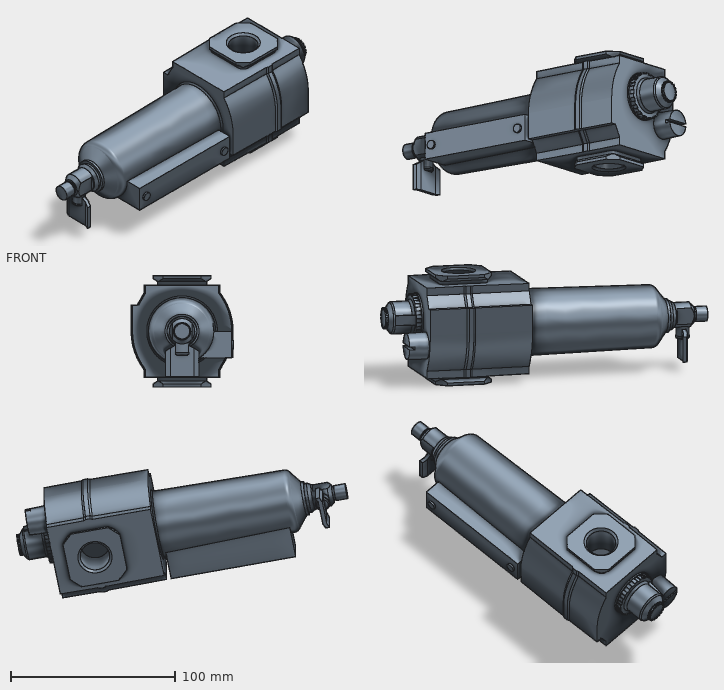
import cadquery as cq
import math

OVERLAP = 1.0

HOUSING_BACK = 25.8
HOUSING_FRONT = -38.7
HALF_WIDTH = 30.5
HALF_HEIGHT = 28.3
FLAT_HALF_WIDTH = 22.5
NOTCH_HALF_WIDTH = 26.9
LEDGE_Z = 15.9
SHOULDER_Z = 23.5
DRAFT_ANGLE = 0.5
RIB_HEIGHT = 0.6
RIB_BASE = 2.6
RIB_CREST = 1.5

PORT_TOP = 34.0
FLANGE_HALF = 17.7
FLANGE_RIM = 1.8
FLANGE_SLOPE = 1.8
FLANGE_CORNER = 6.1
NECK_HALF = 15.0
NECK_ROUND = 4.0
BORE_RADIUS = 9.0
BORE_CHAMFER = 1.5
BORE_DEPTH = 20.4

BOWL_TOP_RADIUS = 20.5
BOWL_END_RADIUS = 19.3
COLLAR_RADIUS = 21.5
COLLAR_LENGTH = 1.0
BOWL_SHOULDER_Y = -120.5
CONE_START_Y = -124.3
CONE_START_RADIUS = 16.9
CONE_END_Y = -129.6
BOWL_SEAT_RADIUS = 10.4
BOWL_SEAT_Y = -131.3

BOX_SIDE = 30.1
BOX_HEIGHT = 16.3
BOX_BACK = -41.5
BOX_FRONT = -118.8
SCREW_RADIUS = 2.6
SCREW_SIDE = 31.3
SCREW_INSET = 5.3

BONNET_RADIUS = 8.8
BONNET_BULGE = 9.2
BONNET_BULGE_Y = -133.0
BONNET_END_Y = -135.3
VALVE_RADIUS = 7.7
VALVE_END_Y = -147.7
VALVE_CHAMFER = 2.5
FLAT_START_Y = -136.1
FLAT_HALF = 6.0
TIP_NECK_RADIUS = 4.0
TIP_START_Y = -149.0
TIP_RADIUS = 4.7
DRAIN_END_Y = -156.0

LEVER_Y = -141.2
STEM_RADIUS = 4.0
STEM_BEAD_RADIUS = 4.3
STEM_BEAD_Z = -12.8
STEM_CHAMFER = 0.8
STEM_END_Z = -14.7
LEVER_THICKNESS = 2.5
LEVER_BEND_X = 7.1
LEVER_HALF_WIDTH = 10.2
LEVER_BEND = 1.2
LEVER_BOTTOM_Z = -27.7
LEVER_SHOULDER_Z = -12.0
LEVER_PEAK_Z = -6.1

DOME_X = 0.2
DOME_Z = 6.5
DOME_BASE_RADIUS = 14.7
DOME_RING_RADIUS = 14.2
DOME_RING_Y = 26.9
DOME_RING_TOP_Y = 30.1
DOME_FOOT_RADIUS = 11.0
DOME_FOOT_Y = 31.7
DOME_RADIUS = 10.0
DOME_SHOULDER_Y = 42.3
DOME_SLOPE_Y = 43.3
DOME_SLOPE_RADIUS = 9.4
DOME_CAP_Y = 45.8
DOME_CAP_NECK = 6.1
DOME_CAP_RADIUS = 6.5
DOME_TOP_Y = 47.5
RING_NOTCHES = 18
RING_NOTCH_WIDTH = 2.5
CAP_NOTCHES = 18
CAP_NOTCH_WIDTH = 1.2
NOTCH_DEPTH = 0.8
FIN_HALF_WIDTH = 3.0
FIN_FOOT_REACH = 12.0
FIN_TOP_REACH = 10.2

PLUG_X = -19.5
PLUG_Z = -8.0
PLUG_TOP_Y = 38.0
PLUG_BASE_RADIUS = 8.3
PLUG_TOP_RADIUS = 8.0
PLUG_SLOT_WIDTH = 1.8
PLUG_SLOT_DEPTH = 3.3


def turned(profile, axis_x=0.0, axis_z=0.0):
    """Revolve (radius, y) points about an axis parallel to Y."""
    first_y = profile[0][1]
    last_y = profile[-1][1]
    outline = cq.Workplane("XY").polyline([(0, first_y), *profile, (0, last_y)]).close()
    return outline.revolve(360, (0, 0, 0), (0, 1, 0)).translate((axis_x, 0, axis_z))


def block(x_range, y_range, z_range):
    """A box given by its limits along each axis."""
    spans = [limits[1] - limits[0] for limits in (x_range, y_range, z_range)]
    corner = (x_range[0], y_range[0], z_range[0])
    return cq.Workplane("XY").box(*spans, centered=False).translate(corner)


def housing_outline(y, side_growth=0.0, top_growth=0.0):
    """Housing cross-section at y; one half turned by 180 degrees gives the other half."""
    half_width = HALF_WIDTH + side_growth
    flat = FLAT_HALF_WIDTH + side_growth
    notch = NOTCH_HALF_WIDTH + side_growth
    top = HALF_HEIGHT + top_growth
    sagitta = half_width - flat
    bulge_radius = (SHOULDER_Z**2 + sagitta**2) / (2 * sagitta)
    mid_z = SHOULDER_Z / 2
    mid_x = half_width - bulge_radius + math.sqrt(bulge_radius**2 - mid_z**2)
    return (
        cq.Workplane("XZ", origin=(0, y, 0))
        .moveTo(-flat, top)
        .lineTo(flat, top)
        .lineTo(flat, SHOULDER_Z)
        .threePointArc((mid_x, mid_z), (half_width, 0))
        .lineTo(half_width, -LEDGE_Z)
        .lineTo(notch, -LEDGE_Z)
        .lineTo(flat, -SHOULDER_Z)
        .lineTo(flat, -top)
        .lineTo(-flat, -top)
        .lineTo(-flat, -SHOULDER_Z)
        .threePointArc((-mid_x, -mid_z), (-half_width, 0))
        .lineTo(-half_width, LEDGE_Z)
        .lineTo(-notch, LEDGE_Z)
        .lineTo(-flat, SHOULDER_Z)
        .close()
        .val()
    )


def draft_growth(y):
    """Change of half width and half height at y, measured from the parting plane."""
    return -abs(y) * math.tan(math.radians(DRAFT_ANGLE))


def between(*outlines):
    """Solid with straight walls through the given cross-sections."""
    return cq.Workplane(cq.Solid.makeLoft(list(outlines), True))


def drafted_half(end_y):
    """Housing from the parting plane to one end, narrowing by the draft angle."""
    shrink = draft_growth(end_y)
    return between(housing_outline(0), housing_outline(end_y, shrink, shrink))


def rib_half(side):
    """Half of the low band round the sides: a level crest and a sloped flank, flush on top and bottom."""
    crest_y = side * RIB_CREST
    base_y = side * RIB_BASE
    crest_edge = housing_outline(crest_y, RIB_HEIGHT, draft_growth(crest_y))
    crest = between(housing_outline(0, RIB_HEIGHT), crest_edge)
    flank = between(crest_edge, housing_outline(base_y, draft_growth(base_y), draft_growth(base_y)))
    return crest.union(flank)


def port_flange():
    """Upper port: rounded neck and square flange with a sloped underside and cut corners."""
    rim_bottom = PORT_TOP - FLANGE_RIM
    slope_bottom = rim_bottom - FLANGE_SLOPE
    neck_bottom = HALF_HEIGHT - OVERLAP
    neck = (
        cq.Workplane("XY", origin=(0, 0, neck_bottom))
        .rect(2 * NECK_HALF, 2 * NECK_HALF)
        .extrude(slope_bottom - neck_bottom)
        .edges("|Z")
        .fillet(NECK_ROUND)
    )
    underside = (
        cq.Workplane("XY", origin=(0, 0, slope_bottom))
        .rect(2 * NECK_HALF, 2 * NECK_HALF)
        .workplane(offset=FLANGE_SLOPE)
        .rect(2 * FLANGE_HALF, 2 * FLANGE_HALF)
        .loft(ruled=True)
    )
    rim = (
        cq.Workplane("XY", origin=(0, 0, rim_bottom))
        .rect(2 * FLANGE_HALF, 2 * FLANGE_HALF)
        .extrude(FLANGE_RIM)
    )
    octagon = (
        cq.Workplane("XY", origin=(0, 0, slope_bottom))
        .rect(2 * FLANGE_HALF, 2 * FLANGE_HALF)
        .extrude(PORT_TOP - slope_bottom)
        .edges("|Z")
        .chamfer(FLANGE_CORNER)
    )
    return underside.union(rim).intersect(octagon).union(neck)


def port_bore():
    """Blind bore of the upper port with a chamfered mouth."""
    bottom = PORT_TOP - BORE_DEPTH
    mouth = BORE_RADIUS + BORE_CHAMFER
    return (
        cq.Workplane("XZ")
        .polyline([
            (0, bottom),
            (BORE_RADIUS, bottom),
            (BORE_RADIUS, PORT_TOP - BORE_CHAMFER),
            (mouth, PORT_TOP),
            (0, PORT_TOP),
        ])
        .close()
        .revolve(360, (0, 0, 0), (0, 1, 0))
    )


def make_housing():
    body = drafted_half(HOUSING_BACK).union(rib_half(1))
    body = body.union(drafted_half(HOUSING_FRONT)).union(rib_half(-1))
    flange = port_flange()
    bore = port_bore()
    body = body.union(flange).union(flange.mirror("XY"))
    return body.cut(bore).cut(bore.mirror("XY"))


def gauge_box():
    """Box along the side of the bowl, with two screw heads on its outer face."""
    box = block((0, BOX_SIDE), (BOX_FRONT, BOX_BACK), (-BOX_HEIGHT, 0))
    for y in (BOX_BACK - SCREW_INSET, BOX_FRONT + SCREW_INSET):
        screw = (
            cq.Workplane("YZ", origin=(BOX_SIDE - OVERLAP, y, -BOX_HEIGHT / 2))
            .circle(SCREW_RADIUS)
            .extrude(SCREW_SIDE - BOX_SIDE + OVERLAP)
        )
        box = box.union(screw)
    return box


def make_bowl():
    shell = (
        cq.Workplane("XY")
        .moveTo(0, HOUSING_FRONT)
        .lineTo(COLLAR_RADIUS, HOUSING_FRONT)
        .lineTo(BOWL_TOP_RADIUS, HOUSING_FRONT - COLLAR_LENGTH)
        .lineTo(BOWL_END_RADIUS, BOWL_SHOULDER_Y)
        .tangentArcPoint((CONE_START_RADIUS, CONE_START_Y), relative=False)
        .lineTo(BOWL_SEAT_RADIUS, CONE_END_Y)
        .lineTo(BOWL_SEAT_RADIUS, BOWL_SEAT_Y)
        .lineTo(0, BOWL_SEAT_Y)
        .close()
        .revolve(360, (0, 0, 0), (0, 1, 0))
    )
    return shell.union(gauge_box())


def lever_stem():
    """Upright pivot with a chamfered bead at its lower end."""
    return (
        cq.Workplane("XZ")
        .polyline([
            (0, 0),
            (STEM_RADIUS, 0),
            (STEM_RADIUS, STEM_BEAD_Z),
            (STEM_BEAD_RADIUS, STEM_BEAD_Z),
            (STEM_BEAD_RADIUS, STEM_END_Z + STEM_CHAMFER),
            (STEM_BEAD_RADIUS - STEM_CHAMFER, STEM_END_Z),
            (0, STEM_END_Z),
        ])
        .close()
        .revolve(360, (0, 0, 0), (0, 1, 0))
        .translate((0, LEVER_Y, 0))
    )


def lever_plate():
    """Plate with its two wings bent in opposite directions and a gabled top."""
    centre_line = [
        (-LEVER_HALF_WIDTH, LEVER_BEND),
        (-LEVER_BEND_X, 0),
        (LEVER_BEND_X, 0),
        (LEVER_HALF_WIDTH, -LEVER_BEND),
    ]
    half = LEVER_THICKNESS / 2
    back = [(x, LEVER_Y + y + half) for x, y in centre_line]
    front = [(x, LEVER_Y + y - half) for x, y in reversed(centre_line)]
    bent = (
        cq.Workplane("XY", origin=(0, 0, LEVER_BOTTOM_Z))
        .polyline(back + front)
        .close()
        .extrude(LEVER_PEAK_Z - LEVER_BOTTOM_Z)
    )
    gable = (
        cq.Workplane("XZ", origin=(0, LEVER_Y, 0))
        .polyline([
            (-LEVER_HALF_WIDTH, LEVER_BOTTOM_Z),
            (LEVER_HALF_WIDTH, LEVER_BOTTOM_Z),
            (LEVER_HALF_WIDTH, LEVER_SHOULDER_Z),
            (0, LEVER_PEAK_Z),
            (-LEVER_HALF_WIDTH, LEVER_SHOULDER_Z),
        ])
        .close()
        .extrude(LEVER_THICKNESS + LEVER_BEND, both=True)
    )
    return bent.intersect(gable)


def make_drain():
    valve = turned([
        (BONNET_RADIUS, BOWL_SEAT_Y),
        (BONNET_BULGE, BONNET_BULGE_Y),
        (VALVE_RADIUS, BONNET_END_Y),
        (VALVE_RADIUS, VALVE_END_Y + VALVE_CHAMFER),
        (VALVE_RADIUS - VALVE_CHAMFER, VALVE_END_Y),
        (TIP_NECK_RADIUS, VALVE_END_Y),
        (TIP_NECK_RADIUS, TIP_START_Y),
        (TIP_RADIUS, TIP_START_Y),
        (TIP_RADIUS, DRAIN_END_Y),
    ])
    flat_z = (-VALVE_RADIUS, VALVE_RADIUS)
    for side in (-1, 1):
        flat_x = sorted((side * FLAT_HALF, side * VALVE_RADIUS))
        valve = valve.cut(block(flat_x, (VALVE_END_Y, FLAT_START_Y), flat_z))
    return valve.union(lever_stem()).union(lever_plate())


def rim_notches(count, rim_radius, width, y_range):
    """Boxes spaced round the dome axis that cut notches into a rim."""
    radial_range = (rim_radius - NOTCH_DEPTH, rim_radius + NOTCH_DEPTH)
    notch = block(radial_range, y_range, (-width / 2, width / 2))
    notches = cq.Workplane("XY")
    for index in range(count):
        turned_notch = notch.rotate((0, 0, 0), (0, 1, 0), index * 360 / count)
        notches = notches.add(turned_notch.translate((DOME_X, 0, DOME_Z)))
    return notches.combine()


def dome_fin():
    """Low fin along the -X side of the dome, leaning in toward its top."""
    return (
        cq.Workplane("XY", origin=(DOME_X, 0, DOME_Z))
        .polyline([
            (0, DOME_RING_TOP_Y),
            (-FIN_FOOT_REACH, DOME_RING_TOP_Y),
            (-FIN_TOP_REACH, DOME_SHOULDER_Y),
            (0, DOME_SHOULDER_Y),
        ])
        .close()
        .extrude(FIN_HALF_WIDTH, both=True)
    )


def make_dome():
    dome = turned(
        [
            (DOME_BASE_RADIUS, HOUSING_BACK),
            (DOME_BASE_RADIUS, DOME_RING_Y),
            (DOME_RING_RADIUS, DOME_RING_Y),
            (DOME_RING_RADIUS, DOME_RING_TOP_Y),
            (DOME_FOOT_RADIUS, DOME_RING_TOP_Y),
            (DOME_RADIUS, DOME_FOOT_Y),
            (DOME_RADIUS, DOME_SHOULDER_Y),
            (DOME_SLOPE_RADIUS, DOME_SLOPE_Y),
            (DOME_CAP_NECK, DOME_CAP_Y),
            (DOME_CAP_RADIUS, DOME_CAP_Y),
            (DOME_CAP_RADIUS, DOME_TOP_Y),
        ],
        DOME_X,
        DOME_Z,
    )
    ring_cuts = rim_notches(RING_NOTCHES, DOME_RING_RADIUS, RING_NOTCH_WIDTH, (DOME_RING_Y, DOME_RING_TOP_Y))
    cap_cuts = rim_notches(CAP_NOTCHES, DOME_CAP_RADIUS, CAP_NOTCH_WIDTH, (DOME_CAP_Y, DOME_TOP_Y))
    return dome.cut(ring_cuts).cut(cap_cuts).union(dome_fin())


def make_plug():
    plug = turned([(PLUG_BASE_RADIUS, HOUSING_BACK), (PLUG_TOP_RADIUS, PLUG_TOP_Y)], PLUG_X, PLUG_Z)
    slot = block(
        (PLUG_X - PLUG_BASE_RADIUS, PLUG_X + PLUG_BASE_RADIUS),
        (PLUG_TOP_Y - PLUG_SLOT_DEPTH, PLUG_TOP_Y),
        (PLUG_Z - PLUG_SLOT_WIDTH / 2, PLUG_Z + PLUG_SLOT_WIDTH / 2),
    )
    return plug.cut(slot)


housing = make_housing()
bowl = make_bowl()
drain = make_drain()
dome = make_dome()
plug = make_plug()

result = cq.Compound.makeCompound([
    housing.val(),
    bowl.val(),
    drain.val(),
    dome.val(),
    plug.val(),
])